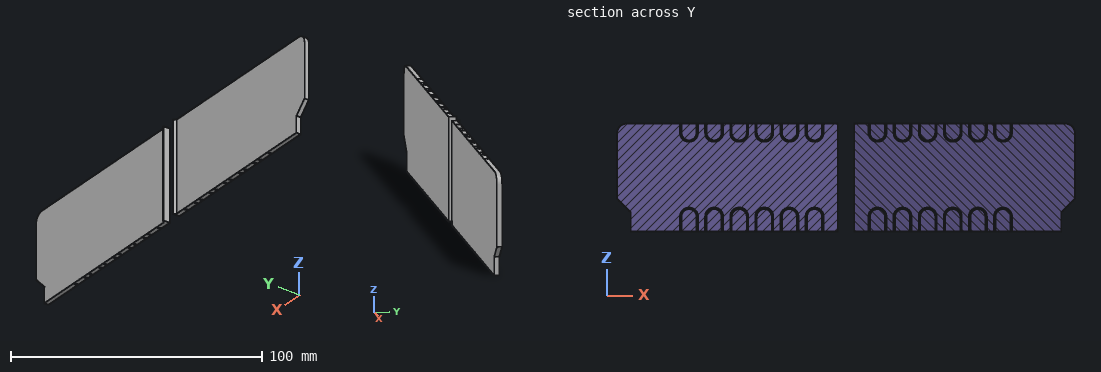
import cadquery as cq

overall_length = 182.4
plate_gap = 6.4
plate_height = 43.0
plate_thickness = 2.2
plate_length = (overall_length - plate_gap) / 2

corner_radius = 4.0
notch_width = 5.5
notch_height = 7.7
bevel_top = notch_height + notch_width

lip_height = 1.0
lip_foot_width = 1.1
lip_crest_width = 0.4

slit_count = 6
slit_row_span = 50.0
slit_pitch = slit_row_span / (slit_count - 1)
slit_width = 0.5
slit_centreline_radius = 3.3
slit_outer_width = 2 * slit_centreline_radius + slit_width
top_slit_depth = 7.3
bottom_slit_depth = 9.5
slit_thickness = 1.1
front_skin = 0.47

slit_margin = 25.2


def blank_plate():
    """Left plate without slits: front face at Y = 0, bottom edge at Z = 0."""
    outer_x = -overall_length / 2
    inner_x = outer_x + plate_length
    plate = (
        cq.Workplane("XZ")
        .moveTo(outer_x + notch_width, 0)
        .lineTo(inner_x, 0)
        .lineTo(inner_x, plate_height)
        .lineTo(outer_x + corner_radius, plate_height)
        .radiusArc((outer_x, plate_height - corner_radius), -corner_radius)
        .lineTo(outer_x, bevel_top)
        .lineTo(outer_x + notch_width, notch_height)
        .close()
        .extrude(-plate_thickness)
    )
    lip = (
        cq.Workplane("XY")
        .moveTo(inner_x, plate_thickness)
        .lineTo(inner_x, plate_thickness + lip_height)
        .lineTo(inner_x - lip_crest_width, plate_thickness + lip_height)
        .lineTo(inner_x - lip_foot_width, plate_thickness)
        .close()
        .extrude(plate_height)
    )
    return plate.union(lip)


def tongue(width, depth):
    """Round-ended block reaching up from Z = 0, as thick as a slit."""
    radius = width / 2
    return (
        cq.Workplane("XZ", origin=(0, front_skin, 0))
        .moveTo(-radius, 0)
        .lineTo(-radius, depth - radius)
        .threePointArc((0, depth), (radius, depth - radius))
        .lineTo(radius, 0)
        .close()
        .extrude(-slit_thickness)
    )


def slit_cutter(slit_depth):
    """U-shaped slit open at Z = 0, with its round end up."""
    outer = tongue(slit_outer_width, slit_depth)
    inner = tongue(slit_outer_width - 2 * slit_width, slit_depth - slit_width)
    return outer.cut(inner)


def slit_plate():
    """Left plate with a row of slits in the bottom edge and a matching row in the top edge."""
    plate = blank_plate()
    bottom_slit = slit_cutter(bottom_slit_depth)
    top_slit = slit_cutter(top_slit_depth).mirror("XY", (0, 0, plate_height / 2))
    first_slit_x = -overall_length / 2 + slit_margin + slit_outer_width / 2
    for index in range(slit_count):
        offset = (first_slit_x + index * slit_pitch, 0, 0)
        plate = plate.cut(bottom_slit.translate(offset))
        plate = plate.cut(top_slit.translate(offset))
    return plate


left_plate = slit_plate()
right_plate = slit_plate().mirror("YZ")

result = cq.Compound.makeCompound([left_plate.val(), right_plate.val()])